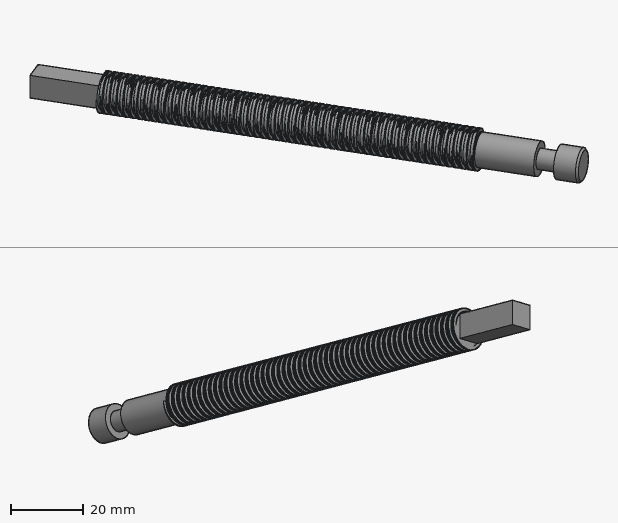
import cadquery as cq

length = 160.0
thread_start = 20.0
thread_pitch = 2.0
thread_turns = 55
segment_turns = 5
segment_count = thread_turns // segment_turns
segment_length = thread_pitch * segment_turns
thread_end = thread_start + segment_count * segment_length
neck_start = 147.2
head_start = 153.0

drive_side = 7.0
thread_diameter = 12.0
shaft_diameter = 10.0
neck_diameter = 6.0
head_chamfer = 0.6


def square_drive():
    return cq.Workplane("YZ").rect(drive_side, drive_side).extrude(thread_start)


def thread_segment(start):
    """Right-handed thread over a few whole turns; ridge and groove each take half the pitch.

    Any slice across its axis is half a disc of the crest radius joined to half a disc
    of the root radius, so the thread is that slice twisted along X.
    """
    crest_radius = thread_diameter / 2
    root_radius = shaft_diameter / 2
    return (
        cq.Workplane("YZ", origin=(start, 0, 0))
        .moveTo(-crest_radius, 0)
        .threePointArc((0, -crest_radius), (crest_radius, 0))
        .lineTo(root_radius, 0)
        .threePointArc((0, root_radius), (-root_radius, 0))
        .close()
        .twistExtrude(segment_length, 360 * segment_turns)
    )


def shank():
    """Plain shaft, neck and chamfered head as one turned piece."""
    shaft_radius = shaft_diameter / 2
    neck_radius = neck_diameter / 2
    return (
        cq.Workplane("XY")
        .moveTo(thread_end, 0)
        .lineTo(thread_end, shaft_radius)
        .lineTo(neck_start, shaft_radius)
        .lineTo(neck_start, neck_radius)
        .lineTo(head_start, neck_radius)
        .lineTo(head_start, shaft_radius)
        .lineTo(length - head_chamfer, shaft_radius)
        .lineTo(length, shaft_radius - head_chamfer)
        .lineTo(length, 0)
        .close()
        .revolve(360, (0, 0, 0), (1, 0, 0))
    )


segments = [thread_segment(thread_start + i * segment_length) for i in range(segment_count)]
pieces = [piece.val() for piece in segments + [shank()]]

result = cq.Workplane(square_drive().val().fuse(*pieces, glue=True)).solids()